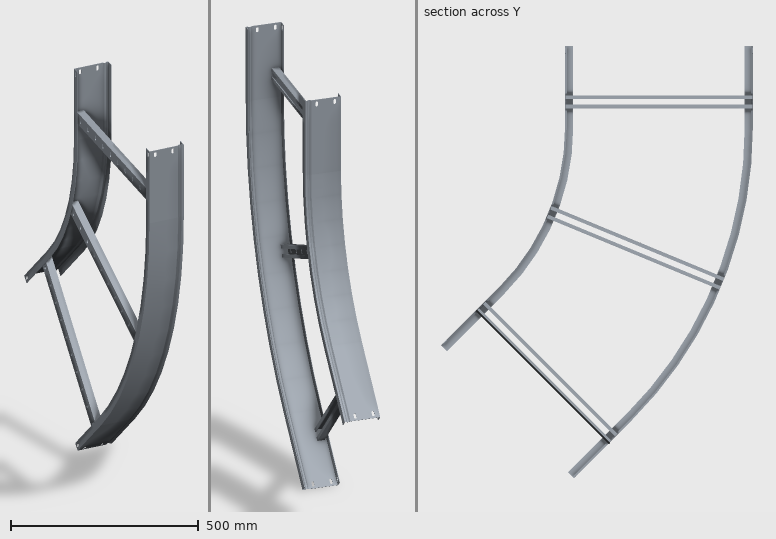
import cadquery as cq
import math


length_z = 1150.0
depth = 100.0
bend_angle = 45.0
inner_radius = 600.0
tray_width = 500.0
outer_radius = inner_radius + tray_width
sin_bend = math.sin(math.radians(bend_angle))
cos_bend = math.cos(math.radians(bend_angle))
straight = (length_z - outer_radius * sin_bend) / (1 + cos_bend)

sheet = 1.5
flange_width = 22.0

groove_depth = 3.0
groove_bottom = 5.0
groove_from_back = 10.9
groove_y = depth - groove_from_back

slot_width = 7.0
slot_length = 15.0
end_slot_inset = 13.0
web_slot_y = (17.0, 68.0)

rung_height = 35.0
rung_depth = 21.0
rung_sheet = 2.0
rung_setback = 7.0
rung_lip = 9.8
rung_from_end = 148.0
rung_middle_angle = bend_angle / 2
rung_middle_rise = 7.0
rung_overrun = 23.0
rung_slot_count = 10
rung_slot_pitch = 50.0


def about_bend(body, angle):
    """Turn a body about the bend axis."""
    return body.rotate((0, 0, 0), (0, 1, 0), angle)


def rail_section(radius, inward):
    """Channel section of a rail whose web stands at the radius; inward is the flanges' X direction."""

    def at(offset, y):
        return (radius + inward * offset, y)

    half_bottom = groove_bottom / 2
    half_top = half_bottom + groove_depth
    return cq.Workplane("XY", origin=(0, 0, straight)).polyline([
        at(flange_width, 0),
        at(0, 0),
        at(0, groove_y - half_top),
        at(groove_depth, groove_y - half_bottom),
        at(groove_depth, groove_y + half_bottom),
        at(0, groove_y + half_top),
        at(0, depth),
        at(flange_width, depth),
        at(flange_width, depth - sheet),
        at(sheet, depth - sheet),
        at(sheet, groove_y + half_top),
        at(sheet + groove_depth, groove_y + half_bottom),
        at(sheet + groove_depth, groove_y - half_bottom),
        at(sheet, groove_y - half_top),
        at(sheet, sheet),
        at(flange_width, sheet),
    ]).close()


def arc_point(radius, angle):
    """Point on the bend in the XZ plane, the angle measured down from +X."""
    return (radius * math.cos(math.radians(angle)), -radius * math.sin(math.radians(angle)))


def far_end(radius):
    """End of the slanted straight in the XZ plane."""
    x, z = arc_point(radius, bend_angle)
    return (x - straight * sin_bend, z - straight * cos_bend)


def rail_path(radius):
    """Straight, bend and straight, drawn in the XZ plane."""
    return (
        cq.Workplane("XZ")
        .moveTo(radius, straight)
        .lineTo(radius, 0)
        .threePointArc(arc_point(radius, bend_angle / 2), arc_point(radius, bend_angle))
        .lineTo(*far_end(radius))
    )


def end_slots(radius, inward, z):
    """Slot cutters for one rail end: two through the web and one through the front flange."""
    web_slots = (
        cq.Workplane("YZ", origin=(radius, 0, z))
        .pushPoints([(y, 0) for y in web_slot_y])
        .slot2D(slot_length, slot_width, 90)
        .extrude(sheet * 2, both=True)
    )
    flange_slot = (
        cq.Workplane("XZ", origin=(radius + inward * flange_width / 2, 0, z))
        .slot2D(slot_length, slot_width, 90)
        .extrude(sheet * 2, both=True)
    )
    return web_slots.add(flange_slot).combine()


def side_rail(radius, inward):
    """Channel rail following the bend, slotted alike at both ends."""
    rail = rail_section(radius, inward).sweep(rail_path(radius))
    slot_z = straight - end_slot_inset
    rail = rail.cut(end_slots(radius, inward, slot_z))
    return rail.cut(about_bend(end_slots(radius, inward, -slot_z), bend_angle))


def rung_space():
    """Block between the inner web faces of the two rails, used to trim the rung ends."""
    near = inner_radius + sheet
    far = outer_radius - sheet
    return (
        cq.Workplane("XZ")
        .moveTo(near, straight)
        .lineTo(near, 0)
        .threePointArc(arc_point(near, bend_angle / 2), arc_point(near, bend_angle))
        .lineTo(*far_end(near))
        .lineTo(*far_end(far))
        .lineTo(*arc_point(far, bend_angle))
        .threePointArc(arc_point(far, bend_angle / 2), (far, 0))
        .lineTo(far, straight)
        .close()
        .extrude(-depth)
    )


def rung(z, angle):
    """Lipped channel open to the back, level at height z and then turned about the bend axis."""
    mid_x = (inner_radius + outer_radius) / 2
    bar_length = tray_width + rung_overrun
    mid_y = rung_setback + rung_depth / 2
    bar = cq.Workplane("XY").box(bar_length, rung_depth, rung_height)
    hollow = cq.Workplane("XY").box(bar_length, rung_depth - 2 * rung_sheet, rung_height - 2 * rung_sheet)
    opening = cq.Workplane("XY").box(bar_length, rung_depth, rung_height - 2 * rung_lip)
    opening = opening.translate((0, rung_depth / 2, 0))
    slots = (
        cq.Workplane("XZ", origin=(0, -rung_depth / 2, 0))
        .rarray(rung_slot_pitch, 11, rung_slot_count, 1)
        .slot2D(slot_length, slot_width, 90)
        .extrude(rung_sheet * 2, both=True)
    )
    bar = bar.cut(hollow).cut(opening).cut(slots).translate((mid_x, mid_y, z))
    return about_bend(bar, angle).intersect(rung_space())


rung_z = straight - rung_from_end
rung_places = [(rung_z, 0), (rung_middle_rise, rung_middle_angle), (-rung_z, bend_angle)]
rungs = [rung(z, angle) for z, angle in rung_places]

inner_rail = side_rail(inner_radius, 1)
outer_rail = side_rail(outer_radius, -1)

result = cq.Compound.makeCompound([inner_rail.val(), outer_rail.val(), *[bar.val() for bar in rungs]])